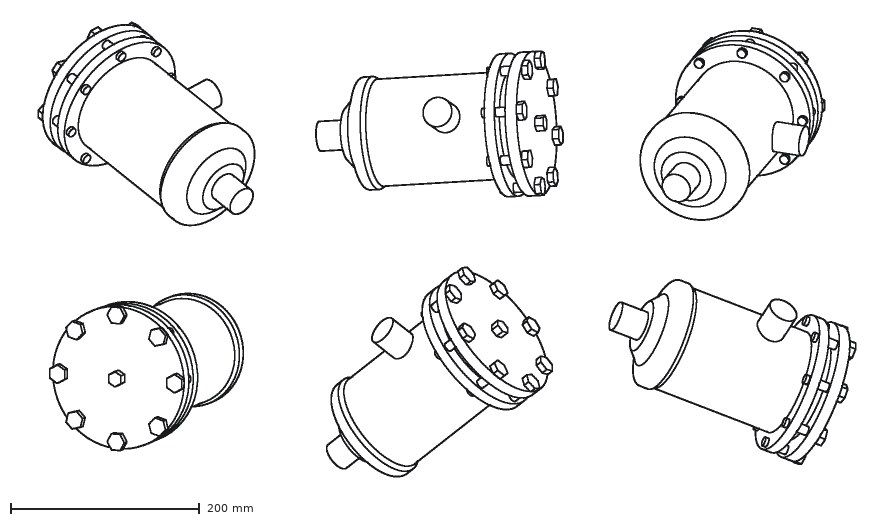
import cadquery as cq
import math


total_length = 248.5
bolt_head_start = 2.5
cover_start = 9.2
cover_end = 21.9
flange_start = 33.8
flange_end = 45.0
bolt_end = 49.0
shell_end = 181.5
collar_start = 186.5
cone_knuckle_start = 195.8
cone_break = 206.3
cone_end = 218.0

cover_diameter = 153.0
flange_diameter = 152.0
shell_diameter = 114.0
collar_diameter = 120.3
cone_break_diameter = 81.0
cone_end_diameter = 56.2
pipe_diameter = 31.8

knuckle_radius = 4.0

port_x = 93.5
port_reach = 87.0

bolt_count = 8
bolt_circle_radius = 68.3
bolt_diameter = 10.0
bolt_head_flats = 17.5
plug_flats = 14.5
hex_sides = 6


def cylinder_along_x(diameter, start, end):
    return cq.Workplane("YZ", origin=(start, 0, 0)).circle(diameter / 2).extrude(end - start)


def hexagon_along_x(across_flats, start, end):
    """Hexagonal prism on the X axis with flats facing +Y and -Y."""
    across_corners = across_flats / math.cos(math.pi / hex_sides)
    return (
        cq.Workplane("YZ", origin=(start, 0, 0))
        .transformed(rotate=(0, 0, 180 / hex_sides))
        .polygon(hex_sides, across_corners)
        .extrude(end - start)
    )


def make_body():
    """Revolve the shell, the collar with its rounded knuckle, both cones and the outlet pipe."""
    collar_radius = collar_diameter / 2
    knuckle_center_radius = collar_radius - knuckle_radius

    break_dx = cone_break - cone_knuckle_start
    break_dr = cone_break_diameter / 2 - knuckle_center_radius
    break_distance = math.hypot(break_dx, break_dr)
    knuckle_angle = math.atan2(break_dx, break_dr) - math.acos(knuckle_radius / break_distance)

    def knuckle_point(angle):
        return (
            cone_knuckle_start + knuckle_radius * math.sin(angle),
            knuckle_center_radius + knuckle_radius * math.cos(angle),
        )

    return (
        cq.Workplane("XY")
        .moveTo(cover_end, 0)
        .lineTo(cover_end, shell_diameter / 2)
        .lineTo(shell_end, shell_diameter / 2)
        .lineTo(collar_start, collar_radius)
        .lineTo(cone_knuckle_start, collar_radius)
        .threePointArc(knuckle_point(knuckle_angle / 2), knuckle_point(knuckle_angle))
        .lineTo(cone_break, cone_break_diameter / 2)
        .lineTo(cone_end, cone_end_diameter / 2)
        .lineTo(cone_end, pipe_diameter / 2)
        .lineTo(total_length, pipe_diameter / 2)
        .lineTo(total_length, 0)
        .close()
        .revolve(360, (0, 0, 0), (1, 0, 0))
    )


def make_side_port():
    """Pipe from the shell axis out to +Y."""
    return (
        cq.Workplane("XZ", origin=(port_x, 0, 0))
        .circle(pipe_diameter / 2)
        .extrude(-port_reach)
    )


def make_bolt():
    """Bolt on the +Y side of the bolt circle, one head flat facing outward."""
    head = hexagon_along_x(bolt_head_flats, bolt_head_start, cover_start)
    shank = cylinder_along_x(bolt_diameter, cover_start, bolt_end)
    return head.union(shank).translate((0, bolt_circle_radius, 0))


cover = cylinder_along_x(cover_diameter, cover_start, cover_end)
flange = cylinder_along_x(flange_diameter, flange_start, flange_end)
plug = hexagon_along_x(plug_flats, 0, cover_start)

result = make_body().union(make_side_port()).union(cover).union(flange).union(plug)

bolt = make_bolt()
for index in range(bolt_count):
    bolt_angle = index * 360 / bolt_count
    result = result.union(bolt.rotate((0, 0, 0), (1, 0, 0), bolt_angle))